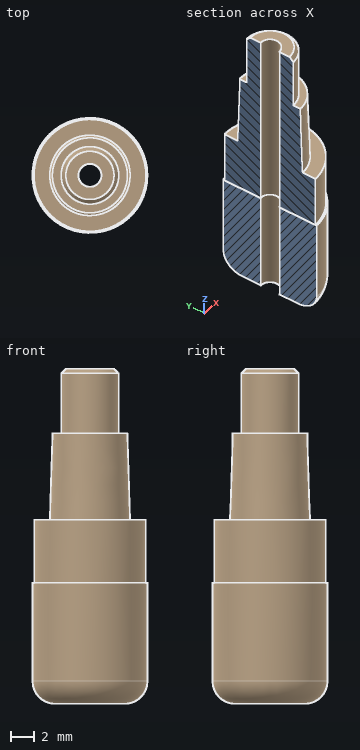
import cadquery as cq

total_height = 29.1
sleeve_height = 10.5
collar_top = 16.0
taper_top = 23.5

sleeve_diameter = 10.0
collar_diameter = 9.72
taper_base_diameter = 6.98
taper_tip_diameter = 6.52
spigot_diameter = 5.0
bore_diameter = 1.98

sleeve_fillet = 2.0
spigot_chamfer = 0.4


def make_sleeve():
    """Lower cylinder with a rounded bottom edge and a through bore."""
    body = cq.Workplane("XY").circle(sleeve_diameter / 2).extrude(sleeve_height)
    body = body.faces("<Z").edges().fillet(sleeve_fillet)
    return body.faces(">Z").workplane().hole(bore_diameter)


def make_stem():
    """Collar, tapered shank and chamfered spigot, revolved around the bore."""
    bore_radius = bore_diameter / 2
    collar_radius = collar_diameter / 2
    taper_base_radius = taper_base_diameter / 2
    taper_tip_radius = taper_tip_diameter / 2
    spigot_radius = spigot_diameter / 2

    profile = (
        cq.Workplane("XZ")
        .moveTo(bore_radius, sleeve_height)
        .lineTo(collar_radius, sleeve_height)
        .lineTo(collar_radius, collar_top)
        .lineTo(taper_base_radius, collar_top)
        .lineTo(taper_tip_radius, taper_top)
        .lineTo(spigot_radius, taper_top)
        .lineTo(spigot_radius, total_height - spigot_chamfer)
        .lineTo(spigot_radius - spigot_chamfer, total_height)
        .lineTo(bore_radius, total_height)
        .close()
    )
    return profile.revolve(360, (0, 0, 0), (0, 1, 0))


sleeve = make_sleeve()
stem = make_stem()

result = cq.Compound.makeCompound([sleeve.val(), stem.val()])